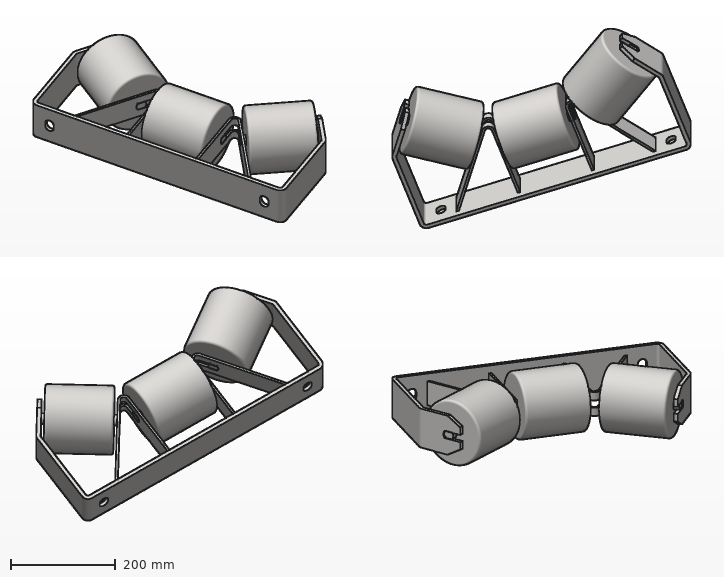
import cadquery as cq
import math

roller_diameter = 133.0
roller_length = 133.0
roller_edge_radius = 5.0
shaft_diameter = 21.0
flat_width = 15.0
shaft_overhang = 0.5
support_distance = 72.5
center_roller_y = 124.5
side_roller_x = 171.0
side_roller_y = 180.5
lean = 35

frame_width = 550
frame_height = 80.5
frame_thickness = 8.0
frame_bend_radius = 5.5
arm_reach = 29.0
tip_height = 46.0
tip_slope = 30
mount_slot_x = 234.0
mount_slot_width = 18.5
mount_slot_height = 25.5

bracket_height = 49.5
bracket_thickness = 5.0
bracket_bend_radius = 7.0
bracket_outer_radius = bracket_bend_radius + bracket_thickness

shaft_end = support_distance + bracket_thickness + shaft_overhang
lean_cos = math.cos(math.radians(lean))
lean_sin = math.sin(math.radians(lean))


def at_center_roller(shape):
    """Move a shape built around a roller at the origin, axis along X, to the center roller."""
    return shape.translate((0, center_roller_y, 0))


def at_right_roller(shape):
    """Move a shape built around a roller at the origin, axis along X, to the right roller."""
    turned = shape.rotate((0, 0, 0), (0, 0, 1), lean)
    return turned.translate((side_roller_x, side_roller_y, 0))


def right_roller_point(along_axis, across_axis):
    """Point in the XY plane, given along and across the axis of the right roller."""
    x = side_roller_x + along_axis * lean_cos - across_axis * lean_sin
    y = side_roller_y + along_axis * lean_sin + across_axis * lean_cos
    return (x, y)


def leaning_line_y(along_axis, x):
    """Y at a given X on the line square to the right roller axis, along_axis from its middle."""
    start_x, start_y = right_roller_point(along_axis, 0)
    return start_y - (x - start_x) * lean_cos / lean_sin


def leaning_line_x(along_axis, y):
    """X at a given Y on the line square to the right roller axis, along_axis from its middle."""
    start_x, start_y = right_roller_point(along_axis, 0)
    return start_x - (y - start_y) * lean_sin / lean_cos


def both_sides(shape):
    """Add the mirror image across the YZ plane."""
    return shape.union(shape.mirror("YZ"))


def round_bends(strip, bends):
    """Round the upright edge nearest to each bend point."""
    for (x, y), radius in bends:
        strip = strip.edges(cq.selectors.NearestToPointSelector((x, y, 0))).fillet(radius)
    return strip


def flatted_shaft(length):
    """Shaft centered on the origin, axis along X, with flats on top and bottom."""
    round_bar = cq.Workplane("YZ").cylinder(length, shaft_diameter / 2)
    flats = cq.Workplane("XY").box(length, shaft_diameter, flat_width)
    return round_bar.intersect(flats)


def make_roller():
    """Roller with rounded rims on a shaft whose ends are flatted beyond the supports."""
    drum = cq.Workplane("YZ").cylinder(roller_length, roller_diameter / 2)
    drum = drum.edges().fillet(roller_edge_radius)
    journal = cq.Workplane("YZ").cylinder(2 * support_distance, shaft_diameter / 2)
    return drum.union(journal).union(flatted_shaft(2 * shaft_end))


def shaft_slots():
    """Cutter for the two slots that take a shaft; they open toward +Y."""
    slot_depth = bracket_outer_radius
    slot_reach = 55
    outer_span = 2 * (support_distance + slot_depth)
    openings = cq.Workplane("XY").box(outer_span, slot_reach, flat_width)
    openings = openings.translate((0, slot_reach / 2, 0))
    between_supports = cq.Workplane("XY").box(2 * support_distance, 3 * slot_reach, flat_width)
    return openings.union(flatted_shaft(outer_span)).cut(between_supports)


def make_outer_strip():
    """Front plate, side walls and leaning arms, bent from one strip."""
    outer_x = frame_width / 2
    inner_x = outer_x - frame_thickness
    arm_outside = support_distance + frame_thickness
    front_outer = (outer_x, 0)
    front_inner = (inner_x, frame_thickness)
    arm_outer = (outer_x, leaning_line_y(arm_outside, outer_x))
    arm_inner = (inner_x, leaning_line_y(support_distance, inner_x))
    tip_outer = right_roller_point(arm_outside, arm_reach)
    tip_inner = right_roller_point(support_distance, arm_reach)
    outline = [
        (0, 0), front_outer, arm_outer, tip_outer,
        tip_inner, arm_inner, front_inner, (0, frame_thickness),
    ]
    half = cq.Workplane("XY").polyline(outline).close().extrude(frame_height / 2, both=True)
    outside_radius = frame_bend_radius + frame_thickness
    half = round_bends(half, [
        (front_outer, outside_radius),
        (arm_outer, outside_radius),
        (front_inner, frame_bend_radius),
        (arm_inner, frame_bend_radius),
    ])
    return both_sides(half.cut(tip_chamfers()))


def tip_chamfers():
    """Cutter for the upper and lower chamfers of the right arm tip."""
    chamfer_height = (frame_height - tip_height) / 2
    chamfer_length = chamfer_height / math.tan(math.radians(tip_slope))
    upper = (
        cq.Workplane("YZ", origin=(support_distance, 0, 0))
        .moveTo(arm_reach - chamfer_length, frame_height / 2)
        .lineTo(arm_reach, frame_height / 2)
        .lineTo(arm_reach, tip_height / 2)
        .close()
        .extrude(frame_thickness)
    )
    return at_right_roller(upper.union(upper.mirror("XY")))


def make_bracket():
    """Right bracket: an upright leg and a leaning leg joined by a round bend."""
    outer_x = support_distance
    inner_x = outer_x + bracket_thickness
    leg_inside = support_distance + bracket_thickness
    foot_y = frame_thickness
    outer_apex = (outer_x, leaning_line_y(-support_distance, outer_x))
    inner_apex = (inner_x, leaning_line_y(-leg_inside, inner_x))
    outline = [
        (outer_x, foot_y),
        outer_apex,
        (leaning_line_x(-support_distance, foot_y), foot_y),
        (leaning_line_x(-leg_inside, foot_y), foot_y),
        inner_apex,
        (inner_x, foot_y),
    ]
    bracket = cq.Workplane("XY").polyline(outline).close().extrude(bracket_height / 2, both=True)
    return round_bends(bracket, [
        (outer_apex, bracket_outer_radius),
        (inner_apex, bracket_bend_radius),
    ])


def mount_slots():
    """Cutter for the two upright fixing slots in the front plate."""
    return (
        cq.Workplane("XZ")
        .pushPoints([(-mount_slot_x, 0), (mount_slot_x, 0)])
        .slot2D(mount_slot_height, mount_slot_width, 90)
        .extrude(-frame_thickness)
    )


def make_frame():
    """Outer strip and both brackets in one piece, with the center roller fixed between them."""
    frame = make_outer_strip().union(both_sides(make_bracket()))
    frame = frame.cut(mount_slots())
    frame = frame.cut(at_center_roller(shaft_slots()))
    frame = frame.cut(both_sides(at_right_roller(shaft_slots())))
    return frame.union(at_center_roller(make_roller()))


frame = make_frame()
right_roller = at_right_roller(make_roller())
side_rollers = [right_roller, right_roller.mirror("YZ")]

result = cq.Compound.makeCompound([frame.val(), *[roller.val() for roller in side_rollers]])